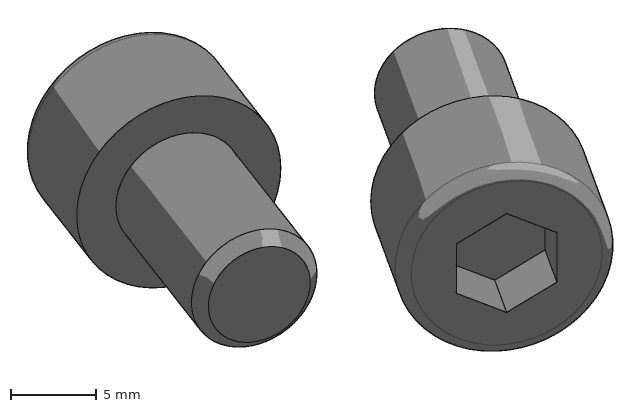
import cadquery as cq
import math

total_length = 20.0
head_diameter = 13.0
head_length = 8.0
head_fillet = 0.8
shank_diameter = 8.0
tip_chamfer = 0.75
socket_across_flats = 6.0
socket_depth = 3.5


def make_head():
    """Cylindrical head with a rounded outer rim on its front face."""
    head = cq.Workplane("YZ").circle(head_diameter / 2).extrude(head_length)
    return head.faces("<X").edges().fillet(head_fillet)


def make_shank():
    """Plain shank with a chamfered tip."""
    shank_length = total_length - head_length
    shank = cq.Workplane("YZ", origin=(head_length, 0, 0)).circle(shank_diameter / 2).extrude(shank_length)
    return shank.faces(">X").edges().chamfer(tip_chamfer)


def make_socket():
    """Hexagonal socket with flats facing +/-Y and corners on +/-Z."""
    across_corners = socket_across_flats / math.cos(math.pi / 6)
    hexagon = cq.Workplane("YZ").polygon(6, across_corners).extrude(socket_depth)
    return hexagon.rotate((0, 0, 0), (1, 0, 0), 30)


result = make_head().union(make_shank()).cut(make_socket())